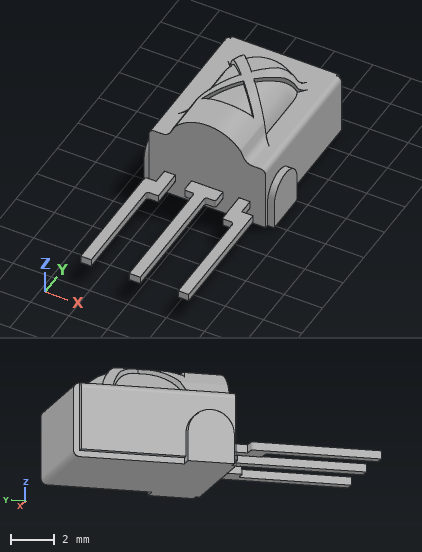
import cadquery as cq
import math

overall_length = 14.7
overall_width = 6.8
overall_height = 5.0

body_length = 7.67
body_height = 3.5
ear_thickness = 0.35
body_width = overall_width - 2 * ear_thickness
edge_radius = 0.3
rebate = edge_radius

ear_radius = 1.1
ear_front = 0.18
ear_height = 2.5
ear_middle = ear_front + ear_radius
ear_back = ear_front + 2 * ear_radius

lens_radius = 2.0
lens_cover = 0.2
cover_radius = lens_radius + lens_cover
lens_axis_z = overall_height - cover_radius
lens_end_y = 4.82

crown_edge_x = 1.75
crown_edge_z = lens_axis_z + math.sqrt(cover_radius**2 - crown_edge_x**2)
foot_radius = 0.5
foot_edge_x = 2.37

dome_axis_z = 3.09
dome_radius = 1.98

cross_y = 3.9
cross_angle = 48.6
bar_width = 0.5
bar_length = 14.7
pocket_front_y = 1.76
pocket_corner_x = 1.6

lead_length = overall_length - body_length
lead_thickness = 0.4
lead_bottom = 0.87
lead_inner_radius = 0.15
lead_corner_radius = 0.1
middle_lead_width = 0.59
middle_pad_width = 1.65
middle_pad_length = 0.72
side_lead_outer_x = 2.82
side_lead_inner_x = 2.26
side_stub_outer_x = 2.23
side_stub_inner_x = 1.66
jog_start = 0.8
jog_end = 1.65


def block(width, y_front, y_back, z_bottom, z_top):
    """Box centred on X = 0."""
    size = (width, y_back - y_front, z_top - z_bottom)
    return cq.Workplane("XY").box(*size, centered=(True, False, False)).translate((0, y_front, z_bottom))


def make_body():
    core_width = body_width - 2 * rebate
    core = block(core_width, 0, body_length, 0, body_height)
    core = core.faces(">Y").edges("|X").fillet(edge_radius)
    shell = block(body_width, 0, body_length - rebate, rebate, body_height)
    shell = shell.edges("|Y and >Z").fillet(edge_radius)
    foot = block(body_width, 0, ear_back, 0, rebate)
    return core.union(shell).union(foot)


def make_ears():
    spring_z = ear_height - ear_radius
    return (
        cq.Workplane("YZ")
        .moveTo(ear_front, 0)
        .lineTo(ear_front, spring_z)
        .threePointArc((ear_middle, ear_height), (ear_back, spring_z))
        .lineTo(ear_back, 0)
        .close()
        .extrude(overall_width / 2, both=True)
    )


def make_lens():
    barrel = (
        cq.Workplane("XZ", origin=(0, 0, lens_axis_z))
        .circle(lens_radius)
        .extrude(-lens_end_y)
    )
    end = cq.Workplane("XY").sphere(lens_radius).translate((0, lens_end_y, lens_axis_z))
    above_base = block(body_width, 0, body_length, lens_axis_z, overall_height)
    return barrel.union(end).intersect(above_base)


def foot_point(center_x, angle):
    """Point on a concave foot whose arc centre is at center_x."""
    center_z = body_height + foot_radius
    return (center_x + foot_radius * math.cos(angle), center_z + foot_radius * math.sin(angle))


def make_hood_prism():
    """Hood section run along Y past the back of the lens."""
    rise = crown_edge_z - body_height - foot_radius
    run = crown_edge_x - foot_edge_x
    flank_angle = math.atan2(rise, run) + math.acos(foot_radius / math.hypot(run, rise))
    flank_x, flank_z = foot_point(foot_edge_x, flank_angle)
    middle_x, middle_z = foot_point(foot_edge_x, (flank_angle + 1.5 * math.pi) / 2)
    return (
        cq.Workplane("XZ")
        .moveTo(-foot_edge_x, lens_axis_z)
        .lineTo(-foot_edge_x, body_height)
        .threePointArc((-middle_x, middle_z), (-flank_x, flank_z))
        .lineTo(-crown_edge_x, crown_edge_z)
        .threePointArc((0, overall_height), (crown_edge_x, crown_edge_z))
        .lineTo(flank_x, flank_z)
        .threePointArc((middle_x, middle_z), (foot_edge_x, body_height))
        .lineTo(foot_edge_x, lens_axis_z)
        .close()
        .extrude(-body_length)
    )


def make_dome():
    """Dome with a concave foot, turned about a vertical axis."""
    foot_rise = body_height + foot_radius - dome_axis_z
    foot_edge = math.sqrt((dome_radius + foot_radius) ** 2 - foot_rise**2)
    join_angle = math.atan2(foot_rise, foot_edge)
    join = (dome_radius * math.cos(join_angle), dome_axis_z + dome_radius * math.sin(join_angle))
    crown_angle = (join_angle + math.pi / 2) / 2
    crown = (dome_radius * math.cos(crown_angle), dome_axis_z + dome_radius * math.sin(crown_angle))
    foot_middle = foot_point(foot_edge, (join_angle + 2.5 * math.pi) / 2)
    return (
        cq.Workplane("XZ")
        .moveTo(0, lens_axis_z)
        .lineTo(foot_edge, lens_axis_z)
        .lineTo(foot_edge, body_height)
        .threePointArc(foot_middle, join)
        .threePointArc(crown, (0, dome_axis_z + dome_radius))
        .close()
        .revolve(360, (0, 0), (0, 1))
        .translate((0, lens_end_y, 0))
    )


def make_cross_plan():
    """Plan of the cross and front hood as a tall prism."""
    slope = math.tan(math.radians(cross_angle))
    wedge = (
        cq.Workplane("XY")
        .moveTo(0, cross_y)
        .lineTo(-foot_edge_x, cross_y - foot_edge_x * slope)
        .lineTo(-foot_edge_x, 0)
        .lineTo(foot_edge_x, 0)
        .lineTo(foot_edge_x, cross_y - foot_edge_x * slope)
        .close()
        .extrude(overall_height)
    )
    pocket_corner_y = cross_y - pocket_corner_x * slope
    pocket = (
        cq.Workplane("XY")
        .moveTo(0, cross_y)
        .lineTo(-pocket_corner_x, pocket_corner_y)
        .threePointArc((0, pocket_front_y), (pocket_corner_x, pocket_corner_y))
        .close()
        .extrude(overall_height)
    )
    plan = wedge.cut(pocket)
    for angle in (cross_angle, -cross_angle):
        bar = cq.Workplane("XY").rect(bar_length, bar_width).extrude(overall_height)
        bar = bar.rotate((0, 0, 0), (0, 0, 1), angle).translate((0, cross_y, 0))
        plan = plan.union(bar)
    return plan


def make_raised_cross():
    straight_part = block(body_width, 0, lens_end_y, lens_axis_z, overall_height)
    envelope = straight_part.union(make_dome())
    return make_hood_prism().intersect(envelope).intersect(make_cross_plan())


def lead_plane():
    return cq.Workplane("XY", origin=(0, 0, lead_bottom))


def corner(x, y):
    """Selector for the upright edge of a lead nearest to a plan point."""
    return cq.selectors.NearestToPointSelector((x, y, lead_bottom + lead_thickness / 2))


def make_middle_lead():
    lead = (
        lead_plane()
        .rect(middle_pad_width, 2 * middle_pad_length)
        .extrude(lead_thickness)
        .edges("|Z and <Y")
        .fillet(lead_corner_radius)
    )
    shank = lead_plane().rect(middle_lead_width, 2 * lead_length).extrude(lead_thickness)
    lead = lead.union(shank.intersect(block(body_width, -lead_length, 0, 0, body_height)))
    for side in (-1, 1):
        lead = lead.edges(corner(side * middle_lead_width / 2, -middle_pad_length)).fillet(lead_corner_radius)
    return lead


def make_side_lead(side):
    outline = [
        (side_stub_outer_x, 0),
        (side_stub_outer_x, -jog_start),
        (side_lead_outer_x, -jog_start),
        (side_lead_outer_x, -lead_length),
        (side_lead_inner_x, -lead_length),
        (side_lead_inner_x, -jog_end),
        (side_stub_inner_x, -jog_end),
        (side_stub_inner_x, 0),
    ]
    lead = lead_plane().polyline([(side * x, y) for x, y in outline]).close().extrude(lead_thickness)
    lead = lead.edges(corner(side * side_lead_inner_x, -jog_end)).fillet(lead_inner_radius)
    if side < 0:
        return lead.edges(corner(-side_lead_outer_x, -jog_start)).fillet(lead_inner_radius)
    return lead.edges(corner(side_stub_inner_x, -jog_end)).fillet(lead_corner_radius)


result = make_body().union(make_ears()).union(make_lens()).union(make_raised_cross())
result = result.union(make_middle_lead())
for lead_side in (-1, 1):
    result = result.union(make_side_lead(lead_side))